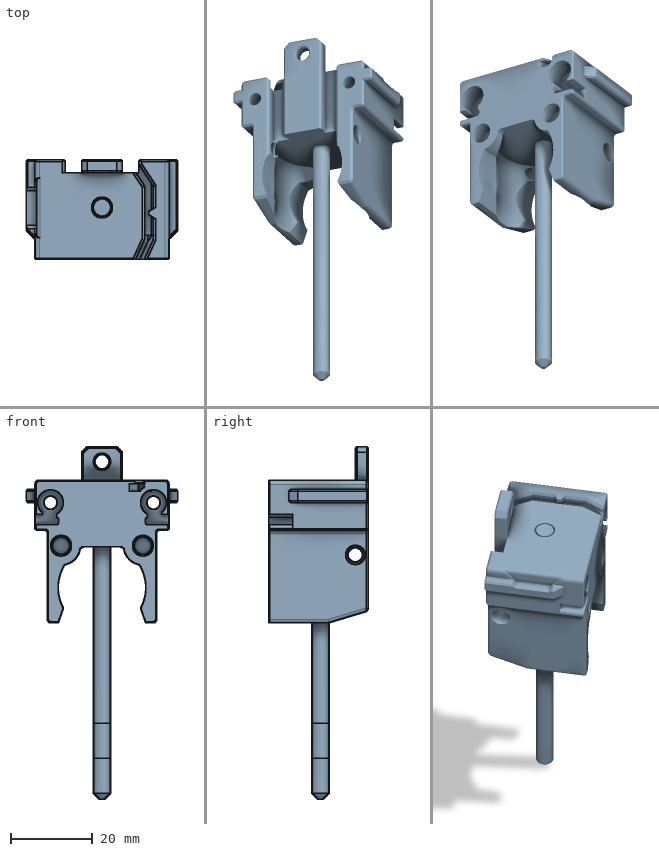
import cadquery as cq

DEPTH = 24.4
HEAD_WIDTH = 32.7
HEAD_HEIGHT = 12.2
HEAD_TOP_RADIUS = 1.0
HEAD_FOOT_CHAMFER = 0.35
LEGS_WIDTH = 26.7
LEGS_BOTTOM_Z = -34.9
LEG_FOOT_RADIUS = 0.95
HEAD_TO_LEG_RADIUS = 0.7
HEEL_LENGTH = 9.7
HEEL_RISE = 2.9
BACK_CHAMFER = 0.5
FRONT_CHAMFER = 0.3

ARCH_ROOF_Z = -16.3
ARCH_HALF_WIDTH = 5.9
ARCH_CORNER_RADIUS = 1.9
CLAMP_RADIUS = 10.7
CLAMP_Z = -26.25
LIP_Z = -31.2
LIP_HALF_WIDTH = 9.4
MOUTH_HALF_WIDTH = 10.7
BOSS_RADIUS = 4.7
CAVITY_RADIUS = 11.6

RAIL_SPAN = 37.0
RAIL_TOP_Z = -2.2
RAIL_BOTTOM_Z = -5.5
RAIL_LENGTH = 17.3
RAIL_CHAMFER = 0.4
RAIL_ROOT = 0.9

RECESS_DEPTH = 0.4
RECESS_FLOOR_Z = -3.1
RECESS_TOP_BACK_Y = -4.5
RECESS_TOP_FRONT_Y = -19.1
RECESS_EDGE_RADIUS = 0.8

SOCKET_X = 12.6
SOCKET_Z = -5.5
SOCKET_DIAMETER = 6.3
SOCKET_DEPTH = 5.9
SOCKET_HOLE_DIAMETER = 3.2
THROAT_OUTER_X = 14.55
THROAT_INNER_X = 11.0
SLOT_TOP_Z = -8.35
SLOT_FLOOR_Z = -10.9
SLOT_INNER_X = 10.5
NECK_Z = -9.0
LEDGE_RADIUS = 0.7

BLIND_X = 10.0
BLIND_Z = -16.0
BLIND_DIAMETER = 4.2
BLIND_MOUTH_DIAMETER = 5.1
BLIND_DEPTH = 3.7

CROSS_Y = -3.2
CROSS_Z = -18.25
CROSS_DIAMETER = 3.4
CROSS_MOUTH_DIAMETER = 4.7
CROSS_TAPER_DEPTH = 4.3

NOTCH_WIDTH = 17.9
NOTCH_DEPTH = 3.2
NOTCH_CHAMFER = 0.8
TAB_WIDTH = 10.0
TAB_TOP_Z = 8.2
TAB_CORNER = 1.4
TAB_CHAMFER = 0.4
TAB_HOLE_Z = 4.5
TAB_HOLE_DIAMETER = 3.4
TAB_HOLE_MOUTH_DIAMETER = 4.2

GROOVE_DEPTH = 2.7
GROOVE_LIP = 0.9
GROOVE_UNDERCUT_X = 8.9
GROOVE_LEFT_X = 10.4
GROOVE_RIGHT_X = 12.6
GROOVE_EDGE_CHAMFER = 0.6
GROOVE_FOOT_CHAMFER = 0.5
GROOVE_FRONT_FOOT_CHAMFER = 1.0
GROOVE_BACK_KINK_Y = -6.5
GROOVE_FRONT_KINK_Y = -19.45
GROOVE_BACK_SHIFT = 4.3
GROOVE_FRONT_SHIFT = 2.2
DETENT_Y = -13.1
DETENT_HEIGHT = 1.1
DETENT_BASE = 2.9
DETENT_TIP = 0.9

ROD_Y = -11.7
ROD_DIAMETER = 4.2
ROD_RECESS_DIAMETER = 5.1
ROD_RECESS_DEPTH = 0.9
RING_TOP_Z = -59.3
RING_BOTTOM_Z = -67.9
OVERALL_HEIGHT = 86.1
ROD_BOTTOM_Z = TAB_TOP_Z - OVERALL_HEIGHT
TIP_CHAMFER = 1.5


def block(x0, x1, y0, y1, z0, z1):
    """Box between two corners."""
    return cq.Workplane("XY").box(x1 - x0, y1 - y0, z1 - z0, centered=False).translate((x0, y0, z0))


def from_front(y=-DEPTH):
    """Sketch plane facing -Y: local axes are X and Z, negative extrusions run to +Y."""
    return cq.Workplane(cq.Plane(origin=(0, y, 0), xDir=(1, 0, 0), normal=(0, -1, 0)))


def mirrored(shape):
    """The shape together with its copy on the other side of the middle plane."""
    return shape.union(shape.mirror("YZ"))


def flared_hole(plane, diameter, mouth_diameter, depth):
    """Round cutter sunk below the plane, with a 45 degree mouth."""
    flare = (mouth_diameter - diameter) / 2
    hole = plane.circle(diameter / 2).extrude(-depth)
    mouth = plane.circle(mouth_diameter / 2).extrude(-flare, taper=45)
    return hole.union(mouth)


def tapered_hole(plane, mouth_diameter, end_diameter, depth):
    """Conical cutter sunk below the plane, narrowing evenly over its depth."""
    mouth = plane.circle(mouth_diameter / 2)
    return mouth.workplane(offset=-depth).circle(end_diameter / 2).loft()


def outer_shell():
    half_width = HEAD_WIDTH / 2
    head = block(-half_width, half_width, -DEPTH, 0, -HEAD_HEIGHT, 0)
    head = head.faces(">Z").edges("|Y").fillet(HEAD_TOP_RADIUS)
    head = head.faces("<Z").edges("|Y").chamfer(HEAD_FOOT_CHAMFER)

    heel_z = LEGS_BOTTOM_Z + HEEL_RISE
    joint_z = -HEAD_HEIGHT / 2
    legs = (
        cq.Workplane("YZ")
        .polyline([
            (-DEPTH, joint_z),
            (-DEPTH, LEGS_BOTTOM_Z),
            (-HEEL_LENGTH, LEGS_BOTTOM_Z),
            (0, heel_z),
            (0, joint_z),
        ])
        .close()
        .extrude(LEGS_WIDTH / 2, both=True)
    )
    feet = cq.selectors.BoxSelector(
        (-LEGS_WIDTH, -DEPTH + LEG_FOOT_RADIUS, LEGS_BOTTOM_Z - LEG_FOOT_RADIUS),
        (LEGS_WIDTH, -LEG_FOOT_RADIUS, heel_z),
    )
    legs = legs.faces("<X or >X").edges(feet).fillet(LEG_FOOT_RADIUS)

    shell = head.union(legs)
    for side_x in (-LEGS_WIDTH / 2, LEGS_WIDTH / 2):
        armpit = cq.selectors.NearestToPointSelector((side_x, -DEPTH / 2, -HEAD_HEIGHT))
        shell = shell.edges("|Y").edges(armpit).fillet(HEAD_TO_LEG_RADIUS)
    shell = shell.faces(">Y").edges().chamfer(BACK_CHAMFER)
    return shell.faces("<Y").edges().chamfer(FRONT_CHAMFER)


def rails():
    inner_x = HEAD_WIDTH / 2 - RAIL_ROOT
    outer_x = RAIL_SPAN / 2
    run_out = outer_x - inner_x
    rail = (
        cq.Workplane("XY", origin=(0, 0, RAIL_BOTTOM_Z))
        .polyline([(inner_x, 0), (outer_x, 0), (outer_x, -RAIL_LENGTH), (inner_x, -RAIL_LENGTH - run_out)])
        .close()
        .extrude(RAIL_TOP_Z - RAIL_BOTTOM_Z)
    )
    rail = rail.edges("|Z").edges(">X and >Y").chamfer(RAIL_CHAMFER)
    rail = rail.faces("<Z or >Z").edges("not <X").chamfer(RAIL_CHAMFER)
    return mirrored(rail)


def arch():
    """Opening between the legs: a clamp bore with a flared mouth, narrowed by two round bosses."""
    def along_y(sketch):
        return sketch.extrude(-DEPTH)

    slot_height = ARCH_ROOF_Z - CLAMP_Z
    slot = along_y(from_front().center(0, CLAMP_Z + slot_height / 2).rect(2 * ARCH_HALF_WIDTH, slot_height))
    slot = slot.faces(">Z").edges("|Y").fillet(ARCH_CORNER_RADIUS)
    clamp = along_y(from_front().center(0, CLAMP_Z).circle(CLAMP_RADIUS))
    bosses = along_y(from_front().pushPoints([(-BLIND_X, BLIND_Z), (BLIND_X, BLIND_Z)]).circle(BOSS_RADIUS))
    mouth = along_y(
        from_front()
        .polyline([
            (-LIP_HALF_WIDTH, LIP_Z),
            (LIP_HALF_WIDTH, LIP_Z),
            (MOUTH_HALF_WIDTH, LEGS_BOTTOM_Z),
            (-MOUTH_HALF_WIDTH, LEGS_BOTTOM_Z),
        ])
        .close()
    )
    above_roof = block(-CLAMP_RADIUS, CLAMP_RADIUS, -DEPTH, 0, ARCH_ROOF_Z, 0)
    return slot.union(clamp).cut(above_roof).cut(bosses).union(mouth)


def cavity():
    """Round room about the rod axis that widens the arch behind the front."""
    return (
        cq.Workplane("XY", origin=(0, ROD_Y, LEGS_BOTTOM_Z))
        .circle(CAVITY_RADIUS)
        .extrude(ARCH_ROOF_Z - LEGS_BOTTOM_Z)
    )


def side_recess():
    slope_run = -RECESS_FLOOR_Z
    floor_back_y = RECESS_TOP_BACK_Y - slope_run
    floor_front_y = RECESS_TOP_FRONT_Y + slope_run
    prism = (
        cq.Workplane("YZ", origin=(-RAIL_SPAN / 2, 0, 0))
        .polyline([
            (RECESS_TOP_BACK_Y, 0),
            (floor_back_y, RECESS_FLOOR_Z),
            (floor_front_y, RECESS_FLOOR_Z),
            (RECESS_TOP_FRONT_Y, 0),
        ])
        .close()
        .extrude(RAIL_SPAN / 2)
    )
    wall_x = HEAD_WIDTH / 2 - RECESS_DEPTH
    core = block(-wall_x, wall_x, -DEPTH, 0, -HEAD_HEIGHT, 0)
    core = core.faces(">Z").edges("|Y").fillet(RECESS_EDGE_RADIUS)
    return prism.cut(core)


def sockets():
    """Round sockets that open sideways through a throat and a slot, with a hole on to the back."""
    plane = from_front()
    bore = plane.center(SOCKET_X, SOCKET_Z).circle(SOCKET_DIAMETER / 2).extrude(-SOCKET_DEPTH)
    hole = plane.center(SOCKET_X, SOCKET_Z).circle(SOCKET_HOLE_DIAMETER / 2).extrude(-DEPTH)
    side_x = HEAD_WIDTH / 2
    slot = (
        from_front()
        .polyline([
            (side_x, SLOT_TOP_Z),
            (THROAT_OUTER_X, SLOT_TOP_Z),
            (THROAT_OUTER_X, SOCKET_Z),
            (THROAT_INNER_X, SOCKET_Z),
            (THROAT_INNER_X, NECK_Z),
        ])
        .threePointArc((SLOT_INNER_X, (NECK_Z + SLOT_FLOOR_Z) / 2), (THROAT_INNER_X, SLOT_FLOOR_Z))
        .lineTo(side_x - LEDGE_RADIUS, SLOT_FLOOR_Z)
        .radiusArc((side_x, SLOT_FLOOR_Z - LEDGE_RADIUS), LEDGE_RADIUS)
        .close()
        .extrude(-SOCKET_DEPTH)
    )
    return mirrored(bore.union(hole).union(slot))


def blind_holes():
    plane = from_front().center(BLIND_X, BLIND_Z)
    return mirrored(tapered_hole(plane, BLIND_MOUTH_DIAMETER, BLIND_DIAMETER, BLIND_DEPTH))


def cross_hole():
    plane = cq.Workplane("YZ", origin=(LEGS_WIDTH / 2, CROSS_Y, CROSS_Z))
    cone = tapered_hole(plane, CROSS_MOUTH_DIAMETER, CROSS_DIAMETER, CROSS_TAPER_DEPTH)
    bore = plane.circle(CROSS_DIAMETER / 2).extrude(-LEGS_WIDTH / 2)
    return mirrored(cone.union(bore))


def back_notch():
    half_width = NOTCH_WIDTH / 2
    notch = (
        cq.Workplane("XY", origin=(0, 0, CLAMP_Z))
        .polyline([
            (-half_width, -NOTCH_DEPTH),
            (half_width, -NOTCH_DEPTH),
            (half_width, -BACK_CHAMFER),
            (half_width + BACK_CHAMFER, 0),
            (-half_width - BACK_CHAMFER, 0),
            (-half_width, -BACK_CHAMFER),
        ])
        .close()
        .extrude(-CLAMP_Z)
    )
    roof_flare = (
        from_front(-NOTCH_DEPTH)
        .polyline([
            (-half_width - NOTCH_CHAMFER, 0),
            (half_width + NOTCH_CHAMFER, 0),
            (half_width, -NOTCH_CHAMFER),
            (-half_width, -NOTCH_CHAMFER),
        ])
        .close()
        .extrude(-NOTCH_DEPTH)
    )
    return notch.union(roof_flare)


def groove_band(left_x, right_x, z):
    """Outline at height z between two parallel groove walls, named by X on their straight stretch."""
    def wall(x):
        return [
            (x - GROOVE_BACK_SHIFT, 0),
            (x, GROOVE_BACK_KINK_Y),
            (x, GROOVE_FRONT_KINK_Y),
            (x - GROOVE_FRONT_SHIFT, -DEPTH),
        ]

    outline = wall(left_x) + wall(right_x)[::-1]
    return cq.Workplane("XY", origin=(0, 0, z)).polyline(outline).close()


def roof_groove():
    undercut = groove_band(GROOVE_UNDERCUT_X, GROOVE_RIGHT_X, -GROOVE_DEPTH).extrude(GROOVE_DEPTH - GROOVE_LIP)
    foot = undercut.faces("<Z").edges()
    foot_x = GROOVE_RIGHT_X - GROOVE_FRONT_SHIFT / 2
    front_y = (GROOVE_FRONT_KINK_Y - DEPTH) / 2
    front_foot = cq.selectors.NearestToPointSelector((foot_x, front_y, -GROOVE_DEPTH))
    undercut = foot.edges(front_foot).chamfer(GROOVE_FRONT_FOOT_CHAMFER)
    middle_y = (GROOVE_BACK_KINK_Y + GROOVE_FRONT_KINK_Y) / 2
    middle_foot = cq.selectors.NearestToPointSelector((GROOVE_RIGHT_X, middle_y, -GROOVE_DEPTH))
    undercut = undercut.faces("<Z").edges(middle_foot).chamfer(GROOVE_FOOT_CHAMFER)
    opening = groove_band(GROOVE_LEFT_X, GROOVE_RIGHT_X, -GROOVE_LIP).extrude(GROOVE_LIP)
    flare = groove_band(GROOVE_LEFT_X, GROOVE_RIGHT_X, -GROOVE_EDGE_CHAMFER)
    flare = flare.extrude(GROOVE_EDGE_CHAMFER, taper=-45)
    base_x = GROOVE_RIGHT_X + GROOVE_EDGE_CHAMFER
    tip_x = GROOVE_RIGHT_X - DETENT_HEIGHT
    detent = (
        cq.Workplane("XY", origin=(0, 0, -GROOVE_DEPTH))
        .polyline([
            (base_x, DETENT_Y + DETENT_BASE / 2),
            (tip_x, DETENT_Y + DETENT_TIP / 2),
            (tip_x, DETENT_Y - DETENT_TIP / 2),
            (base_x, DETENT_Y - DETENT_BASE / 2),
        ])
        .close()
        .extrude(GROOVE_DEPTH)
    )
    return undercut.union(opening).union(flare).cut(detent)


def tab():
    half_width = TAB_WIDTH / 2
    plate = block(-half_width, half_width, -NOTCH_DEPTH, 0, ARCH_ROOF_Z, TAB_TOP_Z)
    plate = plate.faces(">Z").edges("|Y").chamfer(TAB_CORNER)
    plate = plate.faces("<Y or >Y").edges().edges("not <Z").chamfer(TAB_CHAMFER)
    back = cq.Workplane("XZ", origin=(0, 0, TAB_HOLE_Z)).workplane(invert=True)
    front = cq.Workplane("XZ", origin=(0, -NOTCH_DEPTH, TAB_HOLE_Z))
    for face in (back, front):
        plate = plate.cut(flared_hole(face, TAB_HOLE_DIAMETER, TAB_HOLE_MOUTH_DIAMETER, NOTCH_DEPTH))
    return plate


def rod_hole():
    plane = cq.Workplane("XY", origin=(0, ROD_Y, 0))
    bore = plane.circle(ROD_DIAMETER / 2).extrude(ARCH_ROOF_Z)
    recess = plane.circle(ROD_RECESS_DIAMETER / 2).extrude(-ROD_RECESS_DEPTH)
    return bore.union(recess)


def make_housing():
    housing = outer_shell().union(rails())
    cutters = [
        arch(),
        cavity(),
        side_recess(),
        sockets(),
        blind_holes(),
        cross_hole(),
        back_notch(),
        roof_groove(),
        rod_hole(),
    ]
    for cutter in cutters:
        housing = housing.cut(cutter)
    return housing.union(tab())


def rod_piece(top_z, bottom_z):
    return cq.Workplane("XY", origin=(0, ROD_Y, bottom_z)).circle(ROD_DIAMETER / 2).extrude(top_z - bottom_z)


housing = make_housing()
shaft = rod_piece(0, RING_TOP_Z)
ring = rod_piece(RING_TOP_Z, RING_BOTTOM_Z)
tip = rod_piece(RING_BOTTOM_Z, ROD_BOTTOM_Z).faces("<Z").chamfer(TIP_CHAMFER)

result = cq.Compound.makeCompound([housing.val(), shaft.val(), ring.val(), tip.val()])